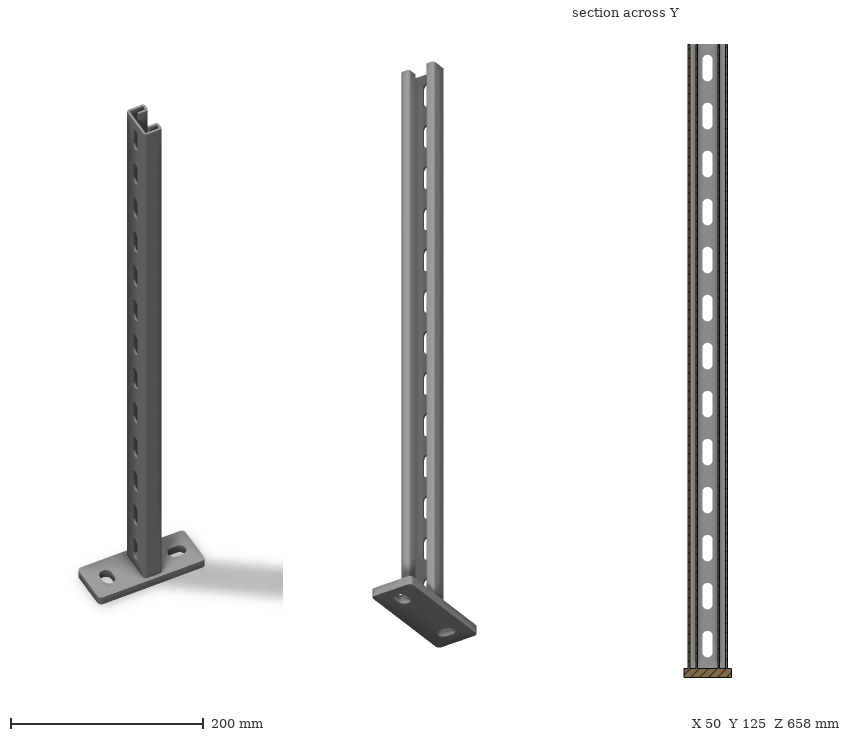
import cadquery as cq

PLATE_WIDTH = 50.0
PLATE_LENGTH = 125.0
PLATE_THICKNESS = 10.0
PLATE_CORNER_RADIUS = 4.5

BOLT_SLOT_LENGTH = 20.5
BOLT_SLOT_WIDTH = 14.0
LENGTHWISE_SLOT_Y = 41.5
CROSSWISE_SLOT_Y = -40.0

TOTAL_HEIGHT = 658.0
CHANNEL_WIDTH = 41.5
CHANNEL_DEPTH = 21.0
CHANNEL_BACK_Y = -7.0
SHEET_THICKNESS = 2.5
BEND_RADIUS = 3.0
FLANGE_WIDTH = 10.5
LIP_LENGTH = 12.0

WEB_SLOT_COUNT = 13
WEB_SLOT_LENGTH = 27.5
WEB_SLOT_WIDTH = 10.5

channel_height = TOTAL_HEIGHT - PLATE_THICKNESS
web_slot_pitch = channel_height / WEB_SLOT_COUNT


def make_plate():
    plate = (
        cq.Workplane("XY")
        .rect(PLATE_WIDTH, PLATE_LENGTH)
        .extrude(PLATE_THICKNESS)
        .edges("|Z")
        .fillet(PLATE_CORNER_RADIUS)
    )
    for y, angle in ((LENGTHWISE_SLOT_Y, 90), (CROSSWISE_SLOT_Y, 0)):
        slot = (
            cq.Workplane("XY")
            .center(0, y)
            .slot2D(BOLT_SLOT_LENGTH, BOLT_SLOT_WIDTH, angle)
            .extrude(PLATE_THICKNESS)
        )
        plate = plate.cut(slot)
    return plate


def make_channel():
    half_width = CHANNEL_WIDTH / 2
    front_y = CHANNEL_BACK_Y + CHANNEL_DEPTH
    lip_inner_x = half_width - FLANGE_WIDTH
    lip_outer_x = lip_inner_x + SHEET_THICKNESS
    lip_tip_y = front_y - LIP_LENGTH
    inner_x = half_width - SHEET_THICKNESS
    inner_front_y = front_y - SHEET_THICKNESS
    inner_back_y = CHANNEL_BACK_Y + SHEET_THICKNESS
    inner_radius = BEND_RADIUS - SHEET_THICKNESS

    outside = [(half_width, CHANNEL_BACK_Y), (half_width, front_y), (lip_inner_x, front_y)]
    inside = [(lip_outer_x, inner_front_y), (inner_x, inner_front_y), (inner_x, inner_back_y)]
    right_side = outside + [(lip_inner_x, lip_tip_y), (lip_outer_x, lip_tip_y)] + inside
    left_side = [(-x, y) for x, y in reversed(right_side)]

    channel = (
        cq.Workplane("XY", origin=(0, 0, PLATE_THICKNESS))
        .polyline(right_side + left_side)
        .close()
        .extrude(channel_height)
    )
    for corners, radius in ((outside, BEND_RADIUS), (inside, inner_radius)):
        for x, y in corners:
            for side in (1, -1):
                corner = (side * x, y, PLATE_THICKNESS + channel_height / 2)
                channel = channel.edges(cq.NearestToPointSelector(corner)).fillet(radius)
    return channel


def make_web_slots():
    slot_centres = [
        (0, PLATE_THICKNESS + (index + 0.5) * web_slot_pitch) for index in range(WEB_SLOT_COUNT)
    ]
    return (
        cq.Workplane("XZ", origin=(0, CHANNEL_BACK_Y, 0))
        .pushPoints(slot_centres)
        .slot2D(WEB_SLOT_LENGTH, WEB_SLOT_WIDTH, 90)
        .extrude(-SHEET_THICKNESS)
    )


result = make_plate().union(make_channel().cut(make_web_slots()))